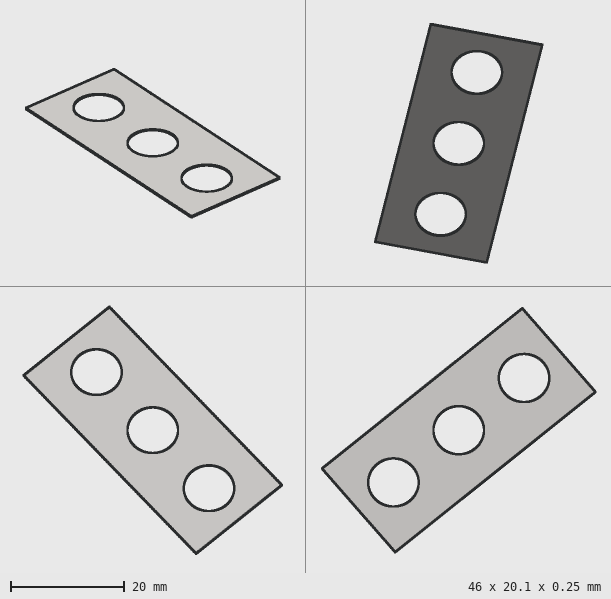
import cadquery as cq

length = 45.95
width = 20.1
thickness = 0.25

hole_diameter = 8.85
hole_count = 3
hole_pitch = 15.0

plate = cq.Workplane("XY").box(length, width, thickness)

result = (
    plate.faces(">Z")
    .workplane()
    .rarray(hole_pitch, 0.45, hole_count, 1)
    .hole(hole_diameter)
)